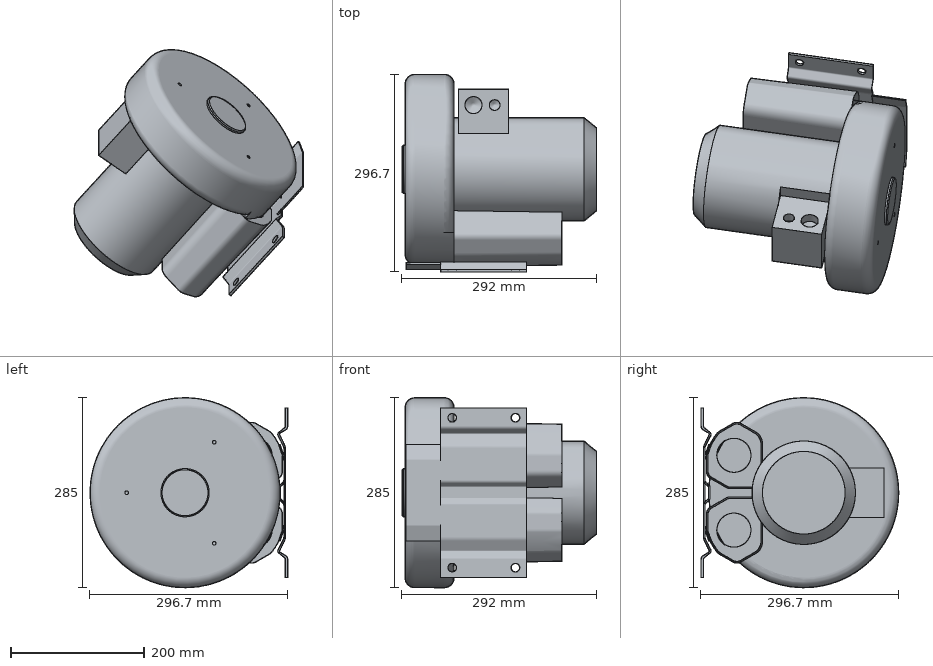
import cadquery as cq
import math


OVERALL_WIDTH = 296.7

HOUSING_DIAMETER = 285.0
HOUSING_RADIUS = HOUSING_DIAMETER / 2
HOUSING_LENGTH = 73.5
HOUSING_ROUNDING = 14.8
REAR_ROUNDING_END_Y = -95.0
CAP_RADIUS = 36.2
CAP_HEIGHT = 4.5
CAP_CHAMFER = 1.8
SCREW_HOLE_RADIUS = 2.7
SCREW_HOLE_DEPTH = 4.5
SCREW_CIRCLE_RADIUS = 87.5
SCREW_COUNT = 3

MOTOR_DIAMETER = 155.2
MOTOR_RADIUS = MOTOR_DIAMETER / 2
MOTOR_TIP_RADIUS = 62.0
MOTOR_CONE_START = 268.5
MOTOR_END = 287.5

BOX_START_X = 79.8
BOX_LENGTH = 75.7
BOX_INNER_Y = 53.7
BOX_WIDTH = 66.5
BOX_HALF_HEIGHT = 37.0
ENTRY_Y = 96.5
ENTRY_DEPTH = 14.8
ENTRIES = [(102.7, 12.8), (134.5, 8.0)]
DRILL_TIP_ANGLE = 118

TUBE_END = 235.3
TUBE_DRAFT = 0.8
TUBE_SLOPE_ANGLE = 30
TUBE_INNER_Y = -62.0
TUBE_RIDGE_Y = -100.3
TUBE_RIDGE_Z = 107.5
TUBE_SHOULDER_Y = -128.5
TUBE_OUTER_Y = -146.0
TUBE_FLAT_TOP_Z = 57.0
TUBE_FLAT_BOTTOM_Z = 25.0
TUBE_GAP_HALF = 6.2
TUBE_SHOULDER_BULGE = 2.5
TUBE_EDGE_ROUNDING = 12.0
TUBE_INNER_ROUNDING = 19.3
TUBE_SHOULDER_ROUNDING = 14.8
TUBE_BORE_RADIUS = 25.5
TUBE_BORE_Y = -104.7
TUBE_BORE_Z = 56.0

BRACKET_START = 53.5
BRACKET_END = 182.5
BRACKET_FOOT_Y = HOUSING_RADIUS - OVERALL_WIDTH
FOOT_THICKNESS = 4.0
PLATE_OUTER_Y = -150.5
SHEET = 2.5
FOOT_END_Z = 127.3
FOOT_BEND_Z = 98.5
ELBOW_Y = -138.0
ELBOW_Z = 88.5
ELBOW_THICKNESS = 3.3
PLATE_EDGE_Z = 69.7
VALLEY_OUTER_Z = 15.7
VALLEY_INNER_Z = 9.0
VALLEY_DEPTH = 7.5
TIGHT_BEND = 1.8
FOOT_BEND = 6.5
PLATE_BEND = 12.0
VALLEY_BEND = 6.0
TAB_BEND = 6.0
BRACKET_HOLE_RADIUS = 6.2
BRACKET_HOLE_Z = 112.5
BRACKET_HOLES_X = [70.5, 165.5]
TAB_START = 1.8
TAB_FLAT_Z = 49.5
TAB_EDGE_Z = 72.7
TAB_FLANGE_RISE = 8.0


def drill(radius, depth):
    """Blind drill hole along +X from the origin, with a conical bottom."""
    tip_depth = radius / math.tan(math.radians(DRILL_TIP_ANGLE / 2))
    profile = [(0, 0), (0, radius), (depth, radius), (depth + tip_depth, 0)]
    return cq.Workplane("XY").polyline(profile).close().revolve(360, (0, 0, 0), (1, 0, 0))


def disc(start, length, radius):
    """Cylinder along X, centred on the shaft axis."""
    return cq.Workplane("YZ", origin=(start, 0, 0)).circle(radius).extrude(length)


def make_housing():
    """Rounded housing, its rear edge left square beside the tubes, with cap and screw holes."""
    square_rear = disc(0, HOUSING_LENGTH, HOUSING_RADIUS).faces("<X").edges().fillet(HOUSING_ROUNDING)
    rounded = square_rear.faces(">X").edges().fillet(HOUSING_ROUNDING)
    tube_side = cq.Workplane("XY").box(
        HOUSING_LENGTH, HOUSING_RADIUS, 2 * HOUSING_RADIUS, centered=(False, False, True)
    ).translate((0, REAR_ROUNDING_END_Y - HOUSING_RADIUS, 0))
    housing = rounded.union(square_rear.intersect(tube_side))
    cap = disc(-CAP_HEIGHT, CAP_HEIGHT, CAP_RADIUS).faces("<X").chamfer(CAP_CHAMFER)
    housing = housing.union(cap)
    screw_hole = drill(SCREW_HOLE_RADIUS, SCREW_HOLE_DEPTH).translate((0, SCREW_CIRCLE_RADIUS, 0))
    for index in range(SCREW_COUNT):
        housing = housing.cut(screw_hole.rotate((0, 0, 0), (1, 0, 0), index * 360 / SCREW_COUNT))
    return housing


def make_motor():
    profile = [
        (HOUSING_ROUNDING, 0),
        (HOUSING_ROUNDING, MOTOR_RADIUS),
        (MOTOR_CONE_START, MOTOR_RADIUS),
        (MOTOR_END, MOTOR_TIP_RADIUS),
        (MOTOR_END, 0),
    ]
    return cq.Workplane("XY").polyline(profile).close().revolve(360, (0, 0, 0), (1, 0, 0))


def make_box_recess():
    """Space above the terminal box, kept clear of the motor."""
    recess = cq.Workplane("XY").box(BOX_LENGTH, BOX_WIDTH, MOTOR_RADIUS, centered=False)
    return recess.translate((BOX_START_X, BOX_INNER_Y, BOX_HALF_HEIGHT))


def make_terminal_box():
    box = cq.Workplane("XY").box(
        BOX_LENGTH, BOX_WIDTH, 2 * BOX_HALF_HEIGHT, centered=(False, False, True)
    ).translate((BOX_START_X, BOX_INNER_Y, 0))
    for x, radius in ENTRIES:
        entry = drill(radius, ENTRY_DEPTH).rotate((0, 0, 0), (0, 1, 0), 90)
        box = box.cut(entry.translate((x, ENTRY_Y, BOX_HALF_HEIGHT)))
    return box


def round_long_edges(body, corners):
    """Round the edges running along X through each (y, z, radius) corner."""
    bounds = body.val().BoundingBox()
    middle_x = (bounds.xmin + bounds.xmax) / 2
    for y, z, radius in corners:
        nearest = cq.selectors.NearestToPointSelector((middle_x, y, z))
        body = body.edges("not(#X)").edges(nearest).fillet(radius)
    return body


def make_tube():
    """Upper silencer tube, tapering towards +X."""
    slope = math.tan(math.radians(TUBE_SLOPE_ANGLE))
    inner_top = (TUBE_INNER_Y, TUBE_RIDGE_Z - (TUBE_INNER_Y - TUBE_RIDGE_Y) * slope)
    ridge = (TUBE_RIDGE_Y, TUBE_RIDGE_Z)
    shoulder = (TUBE_SHOULDER_Y, TUBE_RIDGE_Z - (TUBE_RIDGE_Y - TUBE_SHOULDER_Y) * slope)
    flat_top = (TUBE_OUTER_Y, TUBE_FLAT_TOP_Z)
    flat_bottom = (TUBE_OUTER_Y, TUBE_FLAT_BOTTOM_Z)
    foot = (TUBE_OUTER_Y + (TUBE_FLAT_BOTTOM_Z - TUBE_GAP_HALF) / slope, TUBE_GAP_HALF)
    tube = (
        cq.Workplane("YZ", origin=(HOUSING_LENGTH, 0, 0))
        .moveTo(TUBE_INNER_Y, TUBE_GAP_HALF)
        .lineTo(*inner_top)
        .lineTo(*ridge)
        .lineTo(*shoulder)
        .sagittaArc(flat_top, -TUBE_SHOULDER_BULGE)
        .lineTo(*flat_bottom)
        .lineTo(*foot)
        .close()
        .extrude(TUBE_END - HOUSING_LENGTH, taper=TUBE_DRAFT)
    )
    return round_long_edges(
        tube,
        [
            (*inner_top, TUBE_INNER_ROUNDING),
            (*ridge, TUBE_EDGE_ROUNDING),
            (*shoulder, TUBE_SHOULDER_ROUNDING),
            (*flat_top, TUBE_SHOULDER_ROUNDING),
            (*flat_bottom, TUBE_EDGE_ROUNDING),
            (*foot, TUBE_EDGE_ROUNDING),
        ],
    )


def make_tube_bore():
    """Straight bore through the full length of the upper tube."""
    bore = disc(HOUSING_LENGTH, TUBE_END - HOUSING_LENGTH, TUBE_BORE_RADIUS)
    return bore.translate((0, TUBE_BORE_Y, TUBE_BORE_Z))


def mirrored_pair(body):
    """The body together with its mirror image about Z = 0."""
    return body.union(body.mirror("XY"))


def bent_sheet(outer, inner, start, end):
    """Bent sheet, mirrored about Z = 0, between outer and inner paths of (y, z, bend radius)."""
    corners = outer + inner[::-1]
    outline = [(y, z) for y, z, _ in corners]
    sheet = cq.Workplane("YZ", origin=(start, 0, 0)).polyline(outline).close().extrude(end - start)
    bends = [corner for corner in corners if corner[2] > 0]
    return mirrored_pair(round_long_edges(sheet, bends))


def make_bracket():
    """Plate with a central valley and drilled feet, plus a flanged tab under the housing."""
    plate_inner_y = PLATE_OUTER_Y + SHEET
    valley_outer_y = PLATE_OUTER_Y + VALLEY_DEPTH
    valley_inner_y = valley_outer_y + SHEET
    foot_inner_y = BRACKET_FOOT_Y + FOOT_THICKNESS
    outer = [
        (valley_outer_y, 0, 0),
        (valley_outer_y, VALLEY_INNER_Z, TIGHT_BEND),
        (PLATE_OUTER_Y, VALLEY_OUTER_Z, VALLEY_BEND),
        (PLATE_OUTER_Y, PLATE_EDGE_Z, PLATE_BEND),
        (ELBOW_Y - ELBOW_THICKNESS, ELBOW_Z, TIGHT_BEND),
        (BRACKET_FOOT_Y, FOOT_BEND_Z - SHEET, FOOT_BEND),
        (BRACKET_FOOT_Y, FOOT_END_Z, 0),
    ]
    inner = [
        (valley_inner_y, 0, 0),
        (valley_inner_y, VALLEY_INNER_Z + SHEET / 2, TIGHT_BEND + SHEET),
        (plate_inner_y, VALLEY_OUTER_Z + SHEET / 2, VALLEY_BEND - SHEET),
        (plate_inner_y, PLATE_EDGE_Z - SHEET / 2, PLATE_BEND - SHEET),
        (ELBOW_Y, ELBOW_Z, TIGHT_BEND + SHEET),
        (foot_inner_y, FOOT_BEND_Z, FOOT_BEND - FOOT_THICKNESS),
        (foot_inner_y, FOOT_END_Z, 0),
    ]
    bracket = bent_sheet(outer, inner, BRACKET_START, BRACKET_END)

    tab_outer = [
        (PLATE_OUTER_Y, 0, 0),
        (PLATE_OUTER_Y, TAB_FLAT_Z, TAB_BEND),
        (PLATE_OUTER_Y + TAB_FLANGE_RISE, TAB_EDGE_Z, 0),
    ]
    tab_inner = [
        (plate_inner_y, 0, 0),
        (plate_inner_y, TAB_FLAT_Z, TAB_BEND - SHEET),
        (plate_inner_y + TAB_FLANGE_RISE, TAB_EDGE_Z, 0),
    ]
    bracket = bracket.union(bent_sheet(tab_outer, tab_inner, TAB_START, BRACKET_START))

    hole_points = [(x, z) for x in BRACKET_HOLES_X for z in (BRACKET_HOLE_Z, -BRACKET_HOLE_Z)]
    holes = (
        cq.Workplane("XZ", origin=(0, BRACKET_FOOT_Y, 0))
        .pushPoints(hole_points)
        .circle(BRACKET_HOLE_RADIUS)
        .extrude(-FOOT_THICKNESS)
    )
    return bracket.cut(holes)


tubes = mirrored_pair(make_tube()).cut(mirrored_pair(make_tube_bore()))
motor = make_motor().cut(make_box_recess())
result = make_housing().union(tubes).union(motor).union(make_terminal_box()).union(make_bracket())